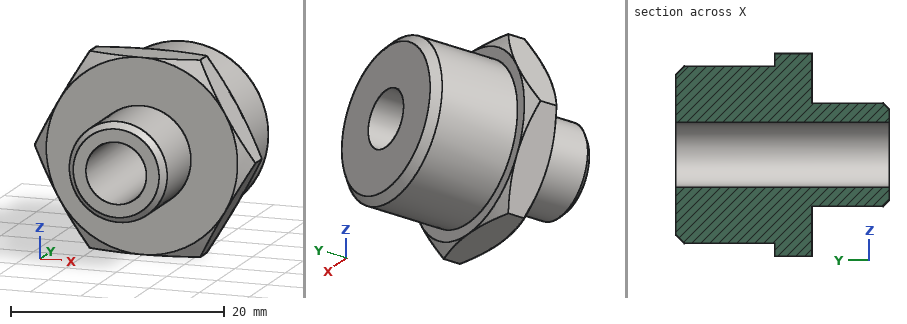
import cadquery as cq
import math

across_corners = 21.95
across_flats = across_corners * math.cos(math.radians(30))
hex_length = 3.5
corner_chamfer_angle = 30.0

small_diameter = 9.72
small_length = 7.25
small_chamfer = 0.6

large_diameter = 16.67
large_length = 9.25
large_chamfer = 0.81

bore_diameter = 6.01

total_length = small_length + hex_length + large_length
hex_start = small_length
hex_end = hex_start + hex_length


def hexagon_collar():
    """Hexagonal prism whose corners are turned down by a cone at both ends."""
    prism = cq.Workplane("XY").polygon(6, across_corners).extrude(hex_length)
    flat_radius = across_flats / 2
    corner_radius = across_corners / 2
    corner_drop = (corner_radius - flat_radius) * math.tan(math.radians(corner_chamfer_angle))
    turned_blank = (
        cq.Workplane("XZ")
        .moveTo(0, 0)
        .lineTo(flat_radius, 0)
        .lineTo(corner_radius, corner_drop)
        .lineTo(corner_radius, hex_length - corner_drop)
        .lineTo(flat_radius, hex_length)
        .lineTo(0, hex_length)
        .close()
        .revolve(360, (0, 0, 0), (0, 1, 0))
    )
    return prism.intersect(turned_blank).translate((0, 0, hex_start))


def small_spigot():
    """Narrow cylinder with a chamfered free end."""
    cylinder = cq.Workplane("XY").circle(small_diameter / 2).extrude(hex_end)
    return cylinder.faces("<Z").chamfer(small_chamfer)


def large_spigot():
    """Wide cylinder with a chamfered free end."""
    cylinder = cq.Workplane("XY", origin=(0, 0, hex_end)).circle(large_diameter / 2).extrude(large_length)
    return cylinder.faces(">Z").chamfer(large_chamfer)


bore = cq.Workplane("XY").circle(bore_diameter / 2).extrude(total_length)

upright = hexagon_collar().union(small_spigot()).union(large_spigot()).cut(bore)
result = upright.rotate((0, 0, 0), (1, 0, 0), -90)